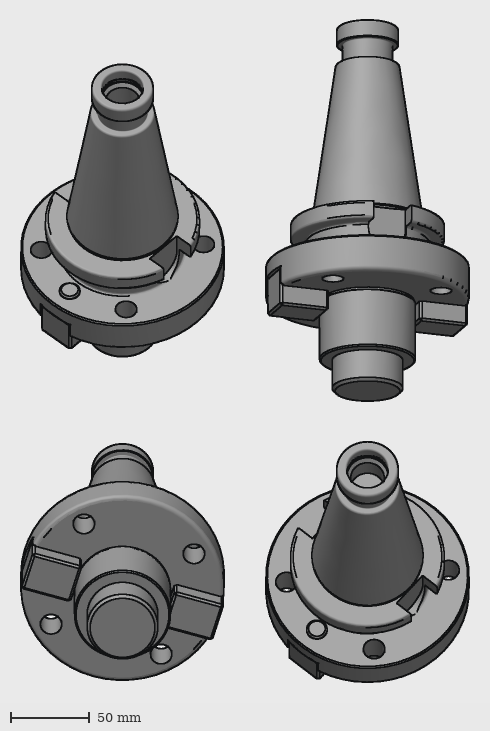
import cadquery as cq

total_height = 241.8
pilot_top = 20.3
flange_bottom = 59.7
flange_top = 83.5
ring_bottom = 99.9
ring_top = 111.5
taper_bottom = 114.0
taper_top = 215.7
knob_bottom = 230.5

pilot_radius = 22.5
arbor_radius = 30.5
flange_diameter = 129.0
flange_radius = flange_diameter / 2
neck_radius = 39.2
ring_radius = 48.8
taper_base_radius = 35.3
taper_ratio = 7 / 24
stud_radius = 16.0
knob_radius = 19.5

relief_depth = 0.7
arbor_relief_height = 1.7

pilot_chamfer = 2.0
arbor_chamfer = 1.0
flange_chamfer = 1.0
flange_rounding = 3.0
neck_fillet = 1.5
ring_rounding = 1.7
taper_rounding = 1.2
stud_fillet = 0.5
knob_rounding = 1.7
knob_chamfer = 0.5

bore_entry_radius = 13.0
bore_entry_rounding = 1.2
bore_groove_start = 8.2
bore_groove_end = 11.1
bore_radius = 10.6
bore_depth = 29.0

slot_width = 25.5
slot_floor_x = 35.0

key_width = 25.6
key_clearance = 0.2
key_inner_y = arbor_radius + key_clearance
key_outer_y = 63.0
key_bottom = 47.0
key_top = key_bottom + key_width
key_chamfer = 1.5

screw_radius = 6.5
screw_circle_radius = 49.5
screw_height = 1.7
screw_chamfer = 1.2

hole_radius = 6.8
hole_circle_radius = 51.5
hole_count = 4

cut_margin = 2.5


def revolve_about_z(profile):
    return profile.close().revolve(360, (0, 0, 0), (0, 1, 0))


def lower_body():
    arbor_relief_radius = arbor_radius - relief_depth
    profile = (
        cq.Workplane("XZ")
        .lineTo(pilot_radius - pilot_chamfer, 0)
        .lineTo(pilot_radius, pilot_chamfer)
        .lineTo(pilot_radius, pilot_top)
        .lineTo(arbor_radius - arbor_chamfer, pilot_top)
        .lineTo(arbor_radius, pilot_top + arbor_chamfer)
        .lineTo(arbor_radius, flange_bottom - arbor_relief_height)
        .lineTo(arbor_relief_radius, flange_bottom - arbor_relief_height)
        .lineTo(arbor_relief_radius, flange_bottom)
        .lineTo(flange_radius - flange_rounding, flange_bottom)
        .tangentArcPoint((flange_radius, flange_bottom + flange_rounding), relative=False)
        .lineTo(flange_radius, flange_top - flange_chamfer)
        .lineTo(flange_radius - flange_chamfer, flange_top)
        .lineTo(neck_radius + neck_fillet, flange_top)
        .tangentArcPoint((neck_radius, flange_top + neck_fillet), relative=False)
        .lineTo(neck_radius, ring_bottom - neck_fillet)
        .tangentArcPoint((neck_radius + neck_fillet, ring_bottom), relative=False)
        .lineTo(ring_radius - ring_rounding, ring_bottom)
        .tangentArcPoint((ring_radius, ring_bottom + ring_rounding), relative=False)
        .lineTo(ring_radius, ring_top - ring_rounding)
        .tangentArcPoint((ring_radius - ring_rounding, ring_top), relative=False)
        .lineTo(0, ring_top)
    )
    return revolve_about_z(profile)


def upper_body():
    taper_relief_radius = taper_base_radius - relief_depth
    taper_tip_radius = taper_base_radius - taper_ratio / 2 * (taper_top - taper_bottom)
    shank_top = taper_top + taper_rounding
    profile = (
        cq.Workplane("XZ")
        .moveTo(0, ring_top)
        .lineTo(taper_relief_radius, ring_top)
        .lineTo(taper_relief_radius, taper_bottom - relief_depth)
        .lineTo(taper_base_radius, taper_bottom)
        .lineTo(taper_tip_radius, taper_top)
        .tangentArcPoint((taper_tip_radius - taper_rounding, shank_top), relative=False)
        .lineTo(stud_radius + stud_fillet, shank_top)
        .tangentArcPoint((stud_radius, shank_top + stud_fillet), relative=False)
        .lineTo(stud_radius, knob_bottom - stud_fillet)
        .tangentArcPoint((stud_radius + stud_fillet, knob_bottom), relative=False)
        .lineTo(knob_radius - knob_chamfer, knob_bottom)
        .lineTo(knob_radius, knob_bottom + knob_chamfer)
        .lineTo(knob_radius, total_height - knob_rounding)
        .tangentArcPoint((knob_radius - knob_rounding, total_height), relative=False)
        .lineTo(0, total_height)
    )
    return revolve_about_z(profile)


def knob_bore():
    cone_height = bore_entry_radius - bore_radius
    groove_radius = bore_entry_radius + relief_depth
    groove_bottom = total_height - bore_groove_end
    groove_top = total_height - bore_groove_start
    mouth_radius = bore_entry_radius + bore_entry_rounding
    profile = (
        cq.Workplane("XZ")
        .moveTo(0, total_height - bore_depth)
        .lineTo(bore_radius, total_height - bore_depth)
        .lineTo(bore_radius, groove_bottom - cone_height)
        .lineTo(bore_entry_radius, groove_bottom)
        .lineTo(groove_radius, groove_bottom)
        .lineTo(groove_radius, groove_top)
        .lineTo(bore_entry_radius, groove_top)
        .lineTo(bore_entry_radius, total_height - bore_entry_rounding)
        .tangentArcPoint((mouth_radius, total_height), relative=False)
        .lineTo(0, total_height)
    )
    return revolve_about_z(profile)


def drive_slot(side):
    half_width = slot_width / 2
    round_center = flange_top + half_width
    return (
        cq.Workplane("YZ", origin=(side * slot_floor_x, 0, 0))
        .moveTo(-half_width, ring_top)
        .lineTo(-half_width, round_center)
        .threePointArc((0, flange_top), (half_width, round_center))
        .lineTo(half_width, ring_top)
        .close()
        .extrude(side * (ring_radius - slot_floor_x + cut_margin))
    )


def key_block(inner_y, outer_y, side):
    length = outer_y - inner_y
    block = cq.Workplane("XY").box(key_width, length, key_top - key_bottom)
    return block.translate((0, side * (inner_y + length / 2), (key_bottom + key_top) / 2))


def key_recess(side):
    return key_block(key_outer_y - key_chamfer, flange_radius + cut_margin, side)


def driving_key(side):
    block = key_block(key_inner_y, key_outer_y, side)
    return block.faces("<Y or >Y or <Z").edges().chamfer(key_chamfer)


def key_screw(side):
    return (
        cq.Workplane("XY", origin=(0, side * screw_circle_radius, key_top))
        .circle(screw_radius)
        .extrude(flange_top + screw_height - key_top)
        .faces(">Z")
        .chamfer(screw_chamfer)
    )


def mounting_holes():
    return (
        cq.Workplane("XY", origin=(0, 0, flange_bottom))
        .polarArray(hole_circle_radius, 180 / hole_count, 360, hole_count)
        .circle(hole_radius)
        .extrude(flange_top - flange_bottom)
    )


result = lower_body().union(upper_body()).cut(knob_bore()).cut(mounting_holes())
for side in (-1, 1):
    result = result.cut(drive_slot(side)).cut(key_recess(side))
    result = result.union(driving_key(side)).union(key_screw(side))